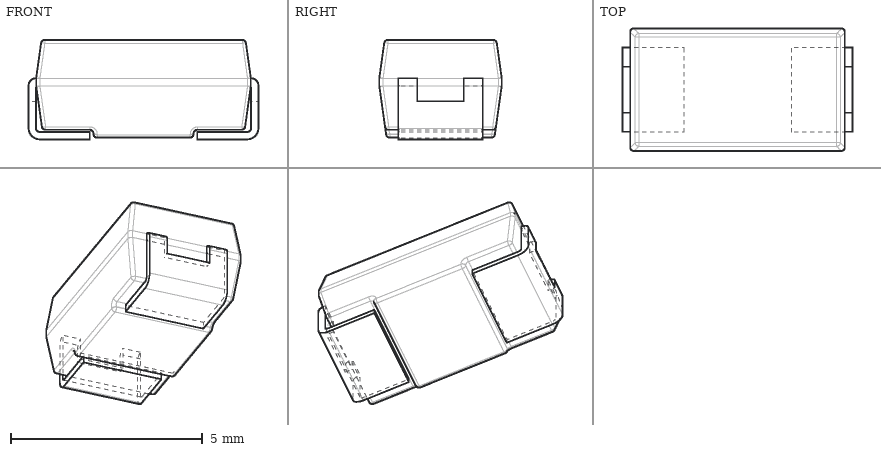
import cadquery as cq
import math

overall_length = 6.0
sheet = 0.2

body_length = overall_length - 2 * sheet
body_width = 3.2
body_top = 2.6
band_top = 1.6
band_bottom = 1.4
draft_angle = 8.0
edge_radius = 0.095
tolerance = 0.0005

pad_bottom = 0.05
recess_height = 0.25
pad_length = 2.615
step_radius = 0.095

terminal_width = 2.2
foot_length = 1.6
bend_radius = 0.3
inner_bend_radius = bend_radius - sheet
notch_width = 1.2
notch_bottom = 1.0


def make_body():
    band = (
        cq.Workplane("XY").workplane(offset=band_bottom)
        .rect(body_length, body_width).extrude(band_top - band_bottom)
    )
    upper = (
        cq.Workplane("XY").workplane(offset=band_top)
        .rect(body_length, body_width).extrude(body_top - band_top, taper=draft_angle)
    )
    lower = (
        cq.Workplane("XY").workplane(offset=band_bottom)
        .rect(body_length, body_width).extrude(pad_bottom - band_bottom, taper=draft_angle)
    )
    body = band.union(upper).union(lower)

    for side in (-1, 1):
        recess = (
            cq.Workplane("XZ")
            .moveTo(side * pad_length / 2, 0)
            .lineTo(side * pad_length / 2, recess_height - step_radius)
            .radiusArc((side * (pad_length / 2 + step_radius), recess_height), side * step_radius)
            .lineTo(side * overall_length / 2, recess_height)
            .lineTo(side * overall_length / 2, 0)
            .close()
            .extrude(body_width / 2, both=True)
        )
        body = body.cut(recess)
    return round_edges(body)


def stays_unrounded(edge):
    """True for the band seams and for the ends of the recess corner arcs, which stay unrounded."""
    center = edge.Center()
    on_seam = any(
        math.isclose(center.z, height, abs_tol=tolerance) for height in (band_top, band_bottom)
    )
    step_ends = (
        (pad_length / 2, recess_height - step_radius),
        (pad_length / 2 + step_radius, recess_height),
    )
    on_step = abs(center.y) < tolerance and any(
        math.hypot(abs(center.x) - x, center.z - z) < tolerance for x, z in step_ends
    )
    return on_seam or on_step


def round_edges(body):
    """Round the upright corners and the rims of the top and underside."""
    sharp_edges = [edge for edge in body.edges().vals() if not stays_unrounded(edge)]
    return body.newObject(sharp_edges).fillet(edge_radius)


def make_terminal():
    """Terminal at the -X end."""
    outer = -overall_length / 2
    inner = outer + sheet
    tip = outer + foot_length
    strip = (
        cq.Workplane("XZ")
        .moveTo(inner, band_top)
        .radiusArc((outer, band_top - sheet), -sheet)
        .lineTo(outer, bend_radius)
        .radiusArc((outer + bend_radius, 0), -bend_radius)
        .lineTo(tip, 0)
        .lineTo(tip, sheet)
        .lineTo(outer + bend_radius, sheet)
        .radiusArc((inner, bend_radius), inner_bend_radius)
        .close()
        .extrude(terminal_width / 2, both=True)
    )
    notch = (
        cq.Workplane("XY").workplane(offset=notch_bottom)
        .center(outer + sheet / 2, 0)
        .rect(sheet, notch_width).extrude(band_top - notch_bottom)
    )
    return strip.cut(notch)


terminal = make_terminal()
result = make_body().union(terminal).union(terminal.mirror("YZ"))